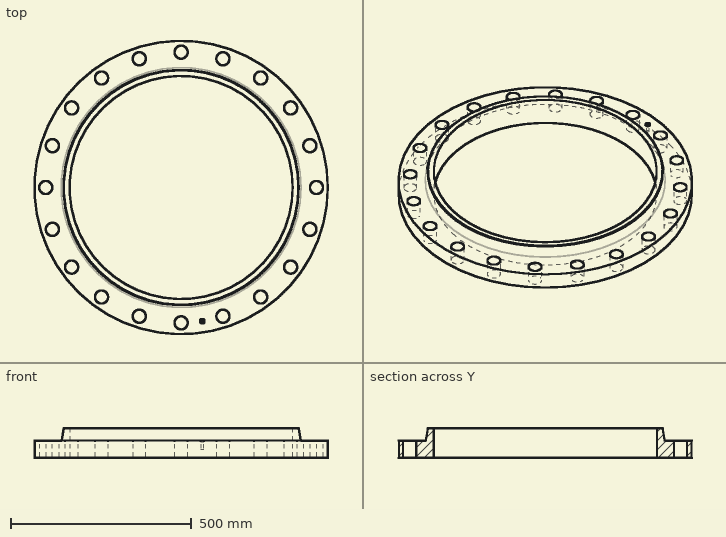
import cadquery as cq
import math

flange_diameter = 812.5
flange_thickness = 48.0

total_height = 83.0
hub_base_diameter = 663.0
hub_top_diameter = 652.0
hub_top_chamfer = 2.0
hub_toe_fillet = 2.0
bore_diameter = 617.0

bolt_count = 20
bolt_circle_diameter = 749.0
bolt_hole_diameter = 36.0

small_hole_diameter = 6.5
small_hole_depth = 24
countersink_diameter = 13.0
countersink_depth = (countersink_diameter - small_hole_diameter) / 2
small_hole_angle = -90 + 360 / bolt_count / 2


def ring(profile):
    """Turn a (radius, height) outline about the Z axis."""
    return cq.Workplane("XZ").polyline(profile).close().revolve(360, (0, 0, 0), (0, 1, 0))


def flange_body():
    """Disc and tapered hub turned as one profile, with a fillet at the hub toe."""
    bore_radius = bore_diameter / 2
    flange_radius = flange_diameter / 2
    hub_base_radius = hub_base_diameter / 2
    hub_top_radius = hub_top_diameter / 2
    body = ring([
        (bore_radius, 0),
        (flange_radius, 0),
        (flange_radius, flange_thickness),
        (hub_base_radius, flange_thickness),
        (hub_top_radius, total_height - hub_top_chamfer),
        (hub_top_radius - hub_top_chamfer, total_height),
        (bore_radius, total_height),
    ])
    toe_edge = cq.selectors.RadiusNthSelector(-2)
    return body.edges("%CIRCLE").edges(toe_edge).fillet(hub_toe_fillet)


def bolt_holes():
    """Through holes spaced evenly on the bolt circle."""
    return (
        cq.Workplane("XY")
        .polarArray(bolt_circle_diameter / 2, 0, 360, bolt_count)
        .circle(bolt_hole_diameter / 2)
        .extrude(flange_thickness)
    )


def small_hole():
    """Blind hole with a countersunk mouth, on the bolt circle."""
    hole_radius = small_hole_diameter / 2
    floor_height = flange_thickness - small_hole_depth
    hole = ring([
        (0, flange_thickness),
        (countersink_diameter / 2, flange_thickness),
        (hole_radius, flange_thickness - countersink_depth),
        (hole_radius, floor_height),
        (0, floor_height),
    ])
    angle = math.radians(small_hole_angle)
    pitch_radius = bolt_circle_diameter / 2
    return hole.translate((pitch_radius * math.cos(angle), pitch_radius * math.sin(angle), 0))


result = flange_body().cut(bolt_holes()).cut(small_hole())